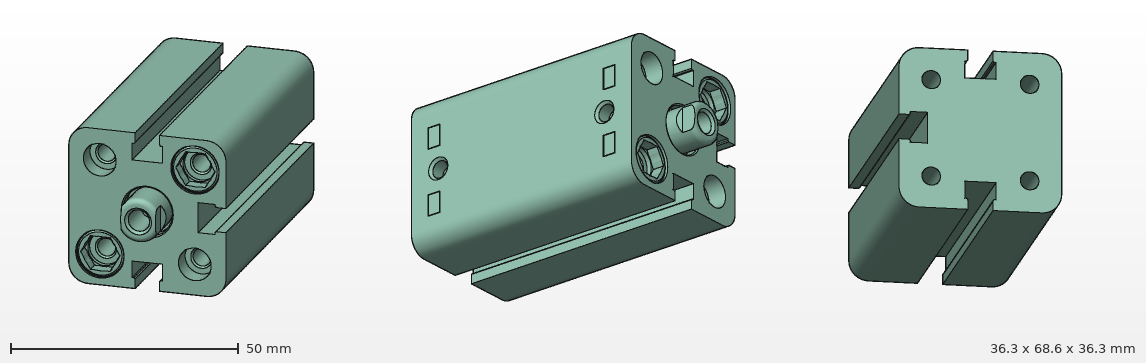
import cadquery as cq
import math

overall_length = 68.6
body_width = 36.3
body_length = 62.1
corner_radius = 4.45
half_width = body_width / 2

slot_mouth_width = 5.6
slot_inner_width = 7.0
slot_depth = 6.4
slot_lip_depth = 2.55
slot_lip_chamfer = 0.3
slot_angles = (-90, 0, 90)

hole_offset = 11.0
through_diameter = 4.1
countersink_diameter = 4.95
plain_counterbore_diameter = 7.55
plain_counterbore_depth = 4.65
plain_corners = ((-1, 1), (1, -1))

screw_corners = ((-1, -1), (1, 1))
screw_recess_diameter = 11.1
screw_head_diameter = 10.8
screw_head_top_diameter = 10.0
screw_head_top_depth = 0.35
screw_recess_depth = 0.7
hex_sides = 6
hex_across_flats = 7.8
hex_depth = 3.2
hex_bore_diameter = 8.0
screw_bore_diameter = 7.55
screw_bore_depth = 4.4

rod_diameter = 10.0
rod_end_fillet = 1.25
rod_flat_width = 8.0
rod_flat_length = 3.4
rod_gap_diameter = 11.4
rod_gap_depth = 2.75
rod_gap_mouth_diameter = 12.0
rod_tip = body_length - overall_length
rod_mouth_diameter = 6.2
rod_bore_diameter = 4.95
rod_bore_depth = 9.6
rod_bore_floor_diameter = 4.1

port_end_distance = 7.6
port_mouth_diameter = 5.4
port_diameter = 4.1
port_depth = 4.1
port_orifice_diameter = 1.8
port_orifice_depth = 7.9
label_end_distance = 6.3
label_height_offset = 8.1
label_length = 3.2
label_height = 5.1
label_depth = 0.2


def stepped_cut(profile):
    """Turned shape about Y from (diameter, depth) pairs, starting at the Y = 0 face."""
    outline = [(diameter / 2, depth) for diameter, depth in profile]
    points = [(0, profile[0][1])] + outline + [(0, profile[-1][1])]
    return cq.Workplane("XY").polyline(points).close().revolve(360, (0, 0, 0), (0, 1, 0))


def make_slot():
    """T-slot cutter on the +X side, running along the whole body."""
    mouth = slot_mouth_width / 2
    inner = slot_inner_width / 2
    lip = half_width - slot_lip_depth
    upper = [
        (half_width, mouth),
        (lip + slot_lip_chamfer, mouth),
        (lip, mouth + slot_lip_chamfer),
        (lip, inner),
        (half_width - slot_depth, inner),
    ]
    lower = [(x, -z) for x, z in reversed(upper)]
    return cq.Workplane("XZ").polyline(upper + lower).close().extrude(-body_length)


def make_body():
    """Square body with rounded edges and three T-slots."""
    body = (
        cq.Workplane("XZ")
        .rect(body_width, body_width)
        .extrude(-body_length)
        .edges("|Y")
        .fillet(corner_radius)
    )
    slot = make_slot()
    for angle in slot_angles:
        body = body.cut(slot.rotate((0, 0, 0), (0, 1, 0), angle))
    return body


def through_hole(start_depth):
    """Hole to the rear face with a countersunk edge at the given depth."""
    taper = (countersink_diameter - through_diameter) / 2
    return [
        (countersink_diameter, start_depth),
        (through_diameter, start_depth + taper),
        (through_diameter, body_length),
    ]


def make_plain_hole():
    """Counterbored mounting hole."""
    counterbore = [(plain_counterbore_diameter, 0), (plain_counterbore_diameter, plain_counterbore_depth)]
    return stepped_cut(counterbore + through_hole(plain_counterbore_depth))


def make_screw_hole():
    """Recess around a chamfered screw head with a hex socket and a through hole."""
    profile = [
        (screw_recess_diameter, 0),
        (screw_recess_diameter, screw_recess_depth),
        (screw_head_diameter, screw_recess_depth),
        (screw_head_top_diameter, screw_head_top_depth),
        (hex_bore_diameter, screw_head_top_depth),
        (hex_bore_diameter, hex_depth),
        (screw_bore_diameter, hex_depth),
        (screw_bore_diameter, screw_bore_depth),
    ]
    hole = stepped_cut(profile + through_hole(screw_bore_depth))
    across_corners = hex_across_flats / math.cos(math.pi / hex_sides)
    socket = cq.Workplane("XZ").polygon(hex_sides, across_corners).extrude(-hex_depth)
    return hole.union(socket)


def make_rod():
    """Rod with wrench flats, and the cutter for the bore in its tip."""
    rod = (
        cq.Workplane("XZ", origin=(0, rod_tip, 0))
        .circle(rod_diameter / 2)
        .extrude(-(rod_gap_depth - rod_tip))
        .faces("<Y")
        .edges()
        .fillet(rod_end_fillet)
    )
    flat = rod_flat_width / 2
    flat_rise = (rod_diameter - rod_flat_width) / 2
    flat_end = rod_tip + rod_flat_length
    wedge = (
        cq.Workplane("XY")
        .polyline([
            (flat, rod_tip),
            (flat, flat_end),
            (flat + flat_rise, flat_end + flat_rise),
            (flat + flat_rise, rod_tip),
        ])
        .close()
        .extrude(rod_diameter / 2, both=True)
    )
    rod = rod.cut(wedge).cut(wedge.mirror("YZ"))
    mouth_taper = (rod_mouth_diameter - rod_bore_diameter) / 2
    floor_taper = (rod_bore_diameter - rod_bore_floor_diameter) / 2
    bore = stepped_cut([
        (rod_mouth_diameter, 0),
        (rod_bore_diameter, mouth_taper),
        (rod_bore_diameter, rod_bore_depth),
        (rod_bore_floor_diameter, rod_bore_depth + floor_taper),
    ])
    return rod, bore.translate((0, rod_tip, 0))


def make_rod_gap():
    """Round recess cutter that leaves a clearance around the rod."""
    taper = (rod_gap_mouth_diameter - rod_gap_diameter) / 2
    return stepped_cut([
        (rod_gap_mouth_diameter, 0),
        (rod_gap_diameter, taper),
        (rod_gap_diameter, rod_gap_depth),
    ])


def make_port():
    """Countersunk port cutter running inwards from the -X side."""
    taper = (port_mouth_diameter - port_diameter) / 2
    port = stepped_cut([
        (port_mouth_diameter, 0),
        (port_diameter, taper),
        (port_diameter, port_depth),
        (port_orifice_diameter, port_depth),
        (port_orifice_diameter, port_orifice_depth),
    ])
    return port.rotate((0, 0, 0), (0, 0, 1), -90).translate((-half_width, 0, 0))


result = make_body().cut(make_rod_gap())

for make_hole, corners in ((make_plain_hole, plain_corners), (make_screw_hole, screw_corners)):
    hole = make_hole()
    for side, level in corners:
        result = result.cut(hole.translate((side * hole_offset, 0, level * hole_offset)))

port = make_port()
for y in (port_end_distance, body_length - port_end_distance):
    result = result.cut(port.translate((0, y, 0)))

label = cq.Workplane("XY").box(2 * label_depth, label_length, label_height)
for y in (label_end_distance, body_length - label_end_distance):
    for z in (-label_height_offset, label_height_offset):
        result = result.cut(label.translate((-half_width, y, z)))

rod, rod_bore = make_rod()
result = result.union(rod).cut(rod_bore)